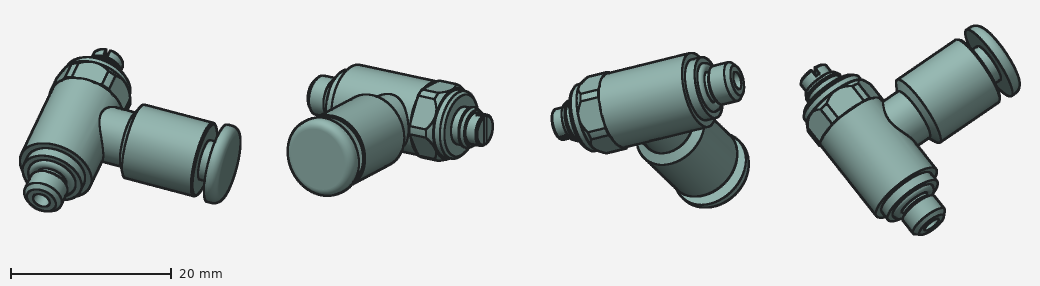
import cadquery as cq
import math


valve_length = 25.0
threaded_end = -13.2
screw_end = threaded_end + valve_length

thread_radius = 5.0 / 2
thread_end_chamfer = 0.58
thread_shoulder = 2.7
thread_relief_start = 3.1
relief_radius = 3.8 / 2
seal_face = 4.0
seal_outer_radius = 6.25 / 2
step_radius = 7.8 / 2
body_start = 5.32
bore_diameter = 2.2
bore_depth = 3.0

body_radius = 9.5 / 2

nut_start = 8.05
nut_chamfer_start = 5.62
nut_end = 4.82
nut_radius = 9.85 / 2
nut_end_radius = 8.99 / 2
nut_across_flats = 9.0

collar_radius = 8.6 / 2
collar_chamfer_start = 3.95
collar_end = 3.51
collar_chamfer_width = 0.38
neck_radius = 4.8 / 2
rim_radius = 5.2 / 2
rim_start = 2.3
rim_cone_start = 2.15
rim_end = 1.63
rim_end_radius = 4.62 / 2
screw_radius = 4.0 / 2
screw_chamfer = 0.18
slot_width = 0.55
slot_depth = 1.08

port_end = 25.1 - nut_radius
port_neck_radius = 7.0 / 2
port_cone_start = 13.25
port_body_start = 12.52
port_body_end = 3.26
port_body_radius = 9.5 / 2
port_chamfer = 0.18
stem_radius = 5.1 / 2
button_start = 1.63
button_radius = 10.0 / 2
button_rounding = 1.03


def from_thread(distance):
    """Y position at a distance inward from the threaded end face."""
    return threaded_end + distance


def from_screw(distance):
    """Y position at a distance inward from the screw end face."""
    return screw_end - distance


def from_button(distance):
    """X position at a distance inward from the button face."""
    return port_end - distance


def revolve_about_y(outline):
    return outline.close().revolve(360, (0, 0, 0), (0, 1, 0))


def make_threaded_body():
    """Thread, relief groove, seal ring of half-round section, step and banjo body."""
    seal_section_radius = (seal_outer_radius - relief_radius) / 2
    seal_middle = (relief_radius + seal_section_radius, from_thread(seal_face) - seal_section_radius)
    outline = (
        cq.Workplane("XY")
        .moveTo(0, threaded_end)
        .lineTo(thread_radius - thread_end_chamfer, threaded_end)
        .lineTo(thread_radius, from_thread(thread_end_chamfer))
        .lineTo(thread_radius, from_thread(thread_shoulder))
        .lineTo(relief_radius, from_thread(thread_relief_start))
        .lineTo(relief_radius, from_thread(seal_face))
        .threePointArc(seal_middle, (seal_outer_radius, from_thread(seal_face)))
        .lineTo(step_radius, from_thread(seal_face))
        .lineTo(step_radius, from_thread(body_start))
        .lineTo(body_radius, from_thread(body_start))
        .lineTo(body_radius, from_screw(nut_start))
        .lineTo(0, from_screw(nut_start))
    )
    return revolve_about_y(outline)


def make_nut():
    """Hexagon with rounded corners and a conical chamfer, flats facing +Z and -Z."""
    outline = (
        cq.Workplane("XY")
        .moveTo(0, from_screw(nut_start))
        .lineTo(nut_radius, from_screw(nut_start))
        .lineTo(nut_radius, from_screw(nut_chamfer_start))
        .lineTo(nut_end_radius, from_screw(nut_end))
        .lineTo(0, from_screw(nut_end))
    )
    across_corners = nut_across_flats / math.cos(math.pi / 6)
    hexagon = (
        cq.Workplane("XZ", origin=(0, from_screw(nut_end), 0))
        .polygon(6, across_corners)
        .extrude(nut_start - nut_end)
    )
    return revolve_about_y(outline).intersect(hexagon)


def make_adjusting_screw():
    """Collar, neck, rim and slotted screw head."""
    outline = (
        cq.Workplane("XY")
        .moveTo(0, from_screw(nut_end))
        .lineTo(collar_radius, from_screw(nut_end))
        .lineTo(collar_radius, from_screw(collar_chamfer_start))
        .lineTo(collar_radius - collar_chamfer_width, from_screw(collar_end))
        .lineTo(neck_radius, from_screw(collar_end))
        .lineTo(neck_radius, from_screw(rim_start))
        .lineTo(rim_radius, from_screw(rim_start))
        .lineTo(rim_radius, from_screw(rim_cone_start))
        .lineTo(rim_end_radius, from_screw(rim_end))
        .lineTo(screw_radius, from_screw(rim_end))
        .lineTo(screw_radius, from_screw(screw_chamfer))
        .lineTo(screw_radius - screw_chamfer, screw_end)
        .lineTo(0, screw_end)
    )
    slot = cq.Workplane("XY").box(slot_width, 2 * slot_depth, 2 * rim_radius).translate((0, screw_end, 0))
    return revolve_about_y(outline).cut(slot)


def make_port():
    """Port neck, tube socket and release button with a rounded outer edge."""
    rounding_offset = button_rounding * math.sqrt(0.5)
    rounding_middle = (
        from_button(button_rounding) + rounding_offset,
        button_radius - button_rounding + rounding_offset,
    )
    outline = (
        cq.Workplane("XY")
        .lineTo(0, port_neck_radius)
        .lineTo(from_button(port_cone_start), port_neck_radius)
        .lineTo(from_button(port_body_start), port_body_radius)
        .lineTo(from_button(port_body_end + port_chamfer), port_body_radius)
        .lineTo(from_button(port_body_end), port_body_radius - port_chamfer)
        .lineTo(from_button(port_body_end), stem_radius)
        .lineTo(from_button(button_start), stem_radius)
        .lineTo(from_button(button_start), button_radius)
        .lineTo(from_button(button_rounding), button_radius)
        .threePointArc(rounding_middle, (port_end, button_radius - button_rounding))
        .lineTo(port_end, 0)
        .close()
    )
    return outline.revolve(360, (0, 0, 0), (1, 0, 0))


def make_bore():
    """Blind bore entering the threaded end."""
    return (
        cq.Workplane("XZ", origin=(0, from_thread(bore_depth), 0))
        .circle(bore_diameter / 2)
        .extrude(bore_depth)
    )


result = (
    make_threaded_body()
    .union(make_nut())
    .union(make_adjusting_screw())
    .union(make_port())
    .cut(make_bore())
)